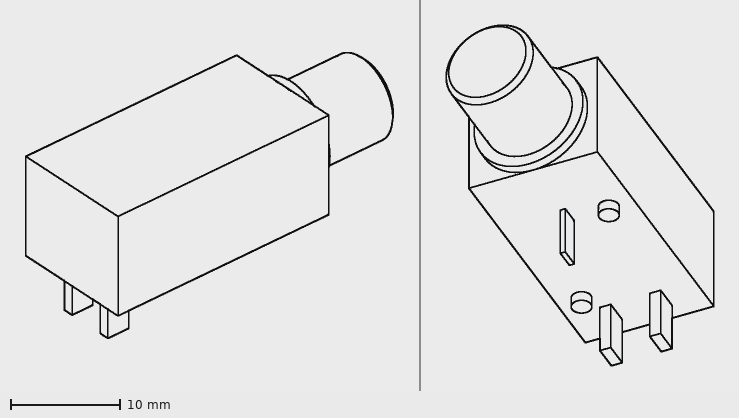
import cadquery as cq

housing_width = 13.0
housing_length = 25.5
housing_height = 11.0

peg_diameter = 1.9
peg_height = 1.0
peg_offset_x = 4.0
front_peg_y = 17.6
rear_peg_y = 6.2

overall_length = 35.5
flange_diameter = housing_height
flange_thickness = 1.0
barrel_diameter = 8.8
barrel_chamfer = 0.5
barrel_length = overall_length - housing_length - flange_thickness

terminal_length = 5.0
center_terminal_thickness = 0.5
center_terminal_width = 2.0
center_terminal_y = 18.0
rear_terminal_thickness = 1.1
rear_terminal_width = 2.52
rear_terminal_offset_x = 2.52
rear_terminal_y = 2.98


def make_housing():
    """Rectangular block with two diagonally placed pegs underneath."""
    block = cq.Workplane("XY").box(
        housing_width, housing_length, housing_height, centered=(True, False, False)
    )
    peg_centers = [(-peg_offset_x, front_peg_y), (peg_offset_x, rear_peg_y)]
    pegs = cq.Workplane("XY").pushPoints(peg_centers).circle(peg_diameter / 2).extrude(-peg_height)
    return block.union(pegs)


def make_sleeve():
    """Flange against the housing front, followed by a barrel with a chamfered end."""
    front_face = cq.Workplane("XZ", origin=(0, housing_length, housing_height / 2))
    flange = front_face.circle(flange_diameter / 2).extrude(-flange_thickness)
    barrel = (
        front_face.workplane(offset=-flange_thickness)
        .circle(barrel_diameter / 2)
        .extrude(-barrel_length)
        .faces(">Y")
        .chamfer(barrel_chamfer)
    )
    return flange.union(barrel)


def make_terminal(center_x, center_y, thickness, width):
    """Flat terminal hanging from the housing underside."""
    return (
        cq.Workplane("XY")
        .center(center_x, center_y)
        .rect(thickness, width)
        .extrude(-terminal_length)
    )


housing = make_housing()
sleeve = make_sleeve()
center_terminal = make_terminal(
    0, center_terminal_y, center_terminal_thickness, center_terminal_width
)
rear_terminals = [
    make_terminal(
        side * rear_terminal_offset_x, rear_terminal_y, rear_terminal_thickness, rear_terminal_width
    )
    for side in (-1, 1)
]

result = cq.Compound.makeCompound([
    housing.val(),
    sleeve.val(),
    center_terminal.val(),
    *[terminal.val() for terminal in rear_terminals],
])